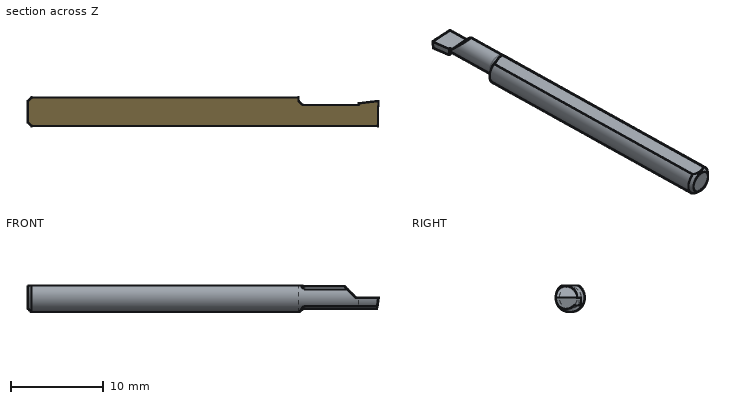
import cadquery as cq
import math

overall_length = 38.1
shank_diameter = 3.175
shank_radius = shank_diameter / 2
overall_height = 2.91
back_chamfer = 0.4

neck_radius = 1.23
neck_center_y = -0.47
neck_start_x = 30.1
shoulder_fillet = 0.7

rake_z = 0.0
rake_start_x = 35.6

tip_start_x = 35.9
tip_root_y = 0.93
tip_corner_y = 1.19
tip_depth = 0.85
end_relief_angle = 8.0
end_cutting_angle = 1.5


def make_shank():
    """Full-length chamfered cylinder with a flat along the top."""
    bar = cq.Workplane("YZ").circle(shank_radius).extrude(overall_length)
    bar = bar.faces("<X").chamfer(back_chamfer)
    flat_z = overall_height - shank_radius
    above_flat = (
        cq.Workplane("XY", origin=(0, 0, flat_z))
        .rect(2 * overall_length, 2 * shank_diameter)
        .extrude(shank_diameter)
    )
    return bar.cut(above_flat)


def make_neck_cutter():
    """Revolved ring around the offset neck axis, with a filleted shoulder."""
    shoulder_x = neck_start_x - shoulder_fillet
    outer_radius = 2 * shank_diameter
    fillet_top = neck_radius + shoulder_fillet
    arc_offset = shoulder_fillet * math.sqrt(0.5)
    arc_middle = (neck_start_x - arc_offset, fillet_top - arc_offset)
    profile = (
        cq.Workplane("XZ", origin=(0, neck_center_y, 0))
        .moveTo(overall_length, neck_radius)
        .lineTo(neck_start_x, neck_radius)
        .threePointArc(arc_middle, (shoulder_x, fillet_top))
        .lineTo(shoulder_x, outer_radius)
        .lineTo(overall_length, outer_radius)
        .close()
    )
    return profile.revolve(360, (0, 0, 0), (1, 0, 0))


def make_tip():
    """Cutting wedge, reaching into the neck and rising past the rake face for trimming."""
    return (
        cq.Workplane("XY", origin=(0, 0, rake_z))
        .moveTo(tip_start_x, neck_center_y)
        .lineTo(tip_start_x, tip_root_y)
        .lineTo(overall_length, tip_corner_y)
        .lineTo(overall_length, neck_center_y)
        .close()
        .extrude(tip_depth, both=True)
    )


def make_rake_cutter():
    """Everything above the rake face and its ramp."""
    rise = shank_diameter
    return (
        cq.Workplane("XZ")
        .moveTo(rake_start_x, rake_z)
        .lineTo(rake_start_x - rise, rake_z + rise)
        .lineTo(overall_length, rake_z + rise)
        .lineTo(overall_length, rake_z)
        .close()
        .extrude(shank_diameter, both=True)
    )


def make_end_cutter():
    """Block beyond the end face, which leans back below and on the -Y side of the tip corner."""
    size = 4 * shank_diameter
    block = cq.Workplane("XY").box(size, size, size).translate((size / 2, 0, 0))
    block = block.rotate((0, 0, 0), (0, 1, 0), end_relief_angle)
    block = block.rotate((0, 0, 0), (0, 0, 1), -end_cutting_angle)
    return block.translate((overall_length, tip_corner_y, rake_z))


bar = make_shank().cut(make_neck_cutter()).union(make_tip())
result = bar.cut(make_rake_cutter()).cut(make_end_cutter())